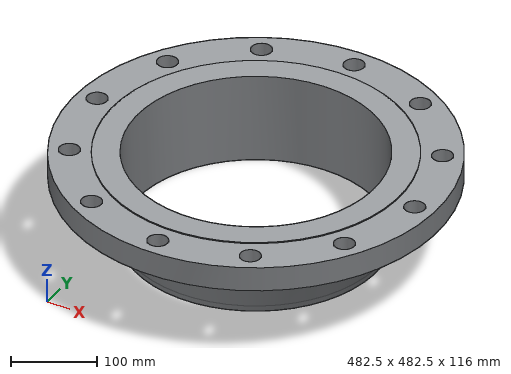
import cadquery as cq

flange_diameter = 482.5
overall_height = 116.0
flange_thickness = 32.0
raised_face_diameter = 381.3
raised_face_height = 1.5

hub_top_diameter = 365.0
weld_end_diameter = 319.5
weld_shoulder_diameter = 324.0
weld_end_length = 8.5
root_fillet_radius = 7.5

bore_diameter = 314.5
bolt_circle_diameter = 432.0
bolt_hole_diameter = 25.5
bolt_count = 12

face_height = overall_height - raised_face_height
flange_bottom = face_height - flange_thickness


def make_body():
    """Revolve the half section of flange, hub and bore about Z."""
    profile = (
        cq.Workplane("XZ")
        .moveTo(bore_diameter / 2, 0)
        .lineTo(weld_end_diameter / 2, 0)
        .lineTo(weld_shoulder_diameter / 2, weld_end_length)
        .lineTo(hub_top_diameter / 2, flange_bottom)
        .lineTo(flange_diameter / 2, flange_bottom)
        .lineTo(flange_diameter / 2, face_height)
        .lineTo(raised_face_diameter / 2, face_height)
        .lineTo(raised_face_diameter / 2, overall_height)
        .lineTo(bore_diameter / 2, overall_height)
        .close()
    )
    return profile.revolve(360, (0, 0, 0), (0, 1, 0))


def fillet_hub_root(body):
    """Round the inside corner where the hub meets the flange underside."""
    reach = hub_top_diameter / 2 + root_fillet_radius
    margin = root_fillet_radius / 2
    root_edges = cq.selectors.BoxSelector(
        (-reach, -reach, flange_bottom - margin),
        (reach, reach, flange_bottom + margin),
        boundingbox=True,
    )
    return body.edges(root_edges).fillet(root_fillet_radius)


def make_bolt_holes():
    """Cutters for the bolt holes, one of them on the X axis."""
    return (
        cq.Workplane("XY")
        .polarArray(bolt_circle_diameter / 2, 0, 360, bolt_count)
        .circle(bolt_hole_diameter / 2)
        .extrude(overall_height)
    )


result = fillet_hub_root(make_body()).cut(make_bolt_holes())